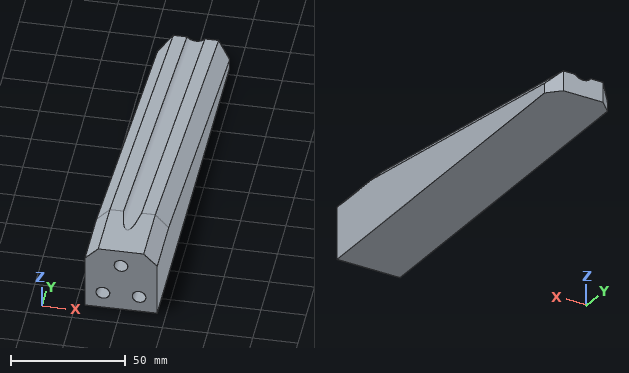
import cadquery as cq
import math

length = 181.0
width = 32.0
height = width
chamfer = 6.0

flat_length = 28.0
thin_end_height = 10.0
ramp_run = length - flat_length
ramp_drop = height - thin_end_height
ramp_length = math.hypot(ramp_run, ramp_drop)

groove_width = 8.0
groove_depth = 1.8
groove_overrun = 2 * groove_width

hole_diameter = 6.0
hole_depth = 20.0
hole_inset = width / 4
hole_centers = [
    (-hole_inset, hole_inset),
    (hole_inset, hole_inset),
    (0, height - hole_inset),
]


def wedge():
    """Block with a sloped top, chamfered along the top and at the thin end."""
    side_profile = [
        (0, 0),
        (length, 0),
        (length, thin_end_height),
        (flat_length, height),
        (0, height),
    ]
    body = cq.Workplane("YZ").polyline(side_profile).close().extrude(width / 2, both=True)
    top_faces = body.faces(">Z or (not (#Z or |Z))")
    body = top_faces.edges("not |X").chamfer(chamfer)
    return body.edges("|Z and >Y").chamfer(chamfer)


def groove_cutter():
    """Cylinder parallel to the slope, cutting the groove depth into it."""
    radius = ((groove_width / 2) ** 2 + groove_depth**2) / (2 * groove_depth)
    slope_plane = cq.Plane(
        origin=(0, flat_length, height),
        xDir=(1, 0, 0),
        normal=(0, ramp_run, -ramp_drop),
    )
    return (
        cq.Workplane(slope_plane)
        .workplane(offset=-groove_overrun)
        .center(0, -(radius - groove_depth))
        .circle(radius)
        .extrude(ramp_length + 2 * groove_overrun)
    )


def hole_cutter():
    """Blind holes bored from the thick end along the length."""
    thick_end = cq.Workplane("XZ").pushPoints(hole_centers)
    return thick_end.circle(hole_diameter / 2).extrude(-hole_depth)


result = wedge().cut(groove_cutter()).cut(hole_cutter())